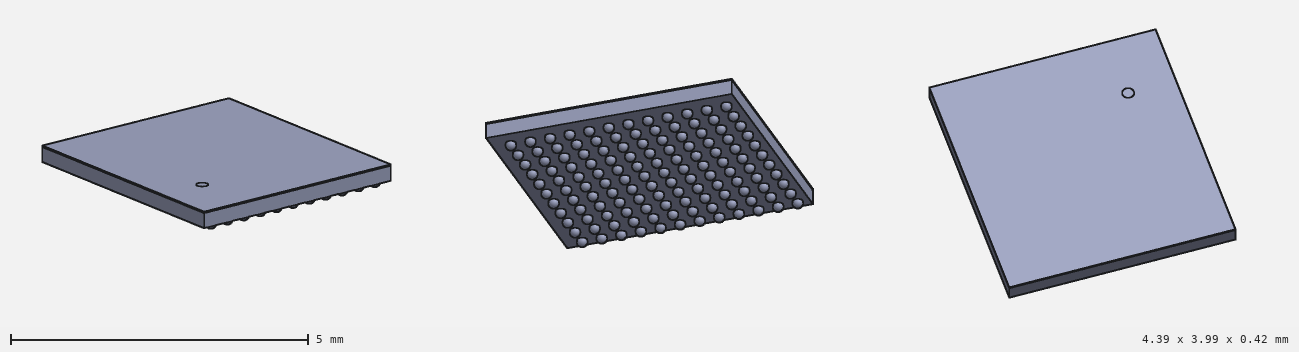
import cadquery as cq
import math

LENGTH = 4.39
WIDTH = 3.99
HEIGHT = 0.42

BALL_RADIUS = 0.09
BALL_CAP_HEIGHT = 0.035
COATING_THICKNESS = 0.025

BALL_COLUMNS = 12
BALL_ROWS = 11
GRID_LENGTH = 3.85
BALL_PITCH = GRID_LENGTH / (BALL_COLUMNS - 1)
GRID_CENTER_X = 0.06
GRID_CENTER_Y = 0.065

MARKER_RADIUS = 0.1
MARKER_X = 1.065
MARKER_Y = -1.145

BALL_HEIGHT = BALL_RADIUS + BALL_CAP_HEIGHT
COATING_BOTTOM = HEIGHT - COATING_THICKNESS
DIE_THICKNESS = COATING_BOTTOM - BALL_HEIGHT


def slab(bottom, thickness):
    """Rectangular layer with the full package outline."""
    layer = cq.Workplane("XY").workplane(offset=bottom)
    return layer.rect(LENGTH, WIDTH).extrude(thickness)


def ball_zone(lower_latitude, upper_latitude):
    """Solid part of the ball between two latitudes, in degrees from its widest level."""
    center = cq.Vector(0, 0, BALL_RADIUS)
    return cq.Solid.makeSphere(BALL_RADIUS, center, cq.Vector(0, 0, 1), lower_latitude, upper_latitude)


def make_ball():
    """Solder ball in two faces that meet at its widest level, cut flat where it joins the die."""
    contact_latitude = math.degrees(math.asin(BALL_CAP_HEIGHT / BALL_RADIUS))
    return ball_zone(-90, 0).fuse(ball_zone(0, contact_latitude))


def make_die():
    """Silicon die with its grid of solder balls, all one solid."""
    ball = make_ball()
    grid = (
        cq.Workplane("XY")
        .center(GRID_CENTER_X, GRID_CENTER_Y)
        .rarray(BALL_PITCH, BALL_PITCH, BALL_COLUMNS, BALL_ROWS)
        .eachpoint(lambda location: ball.moved(location), clean=False)
    )
    return slab(BALL_HEIGHT, DIE_THICKNESS).union(grid, clean=False)


def make_marker():
    """Round pin-one marker, as deep as the coating."""
    return (
        cq.Workplane("XY")
        .workplane(offset=COATING_BOTTOM)
        .center(MARKER_X, MARKER_Y)
        .circle(MARKER_RADIUS)
        .extrude(COATING_THICKNESS)
    )


die = make_die()
marker = make_marker()
coating = slab(COATING_BOTTOM, COATING_THICKNESS).cut(marker)

result = cq.Compound.makeCompound([die.val(), coating.val(), marker.val()])